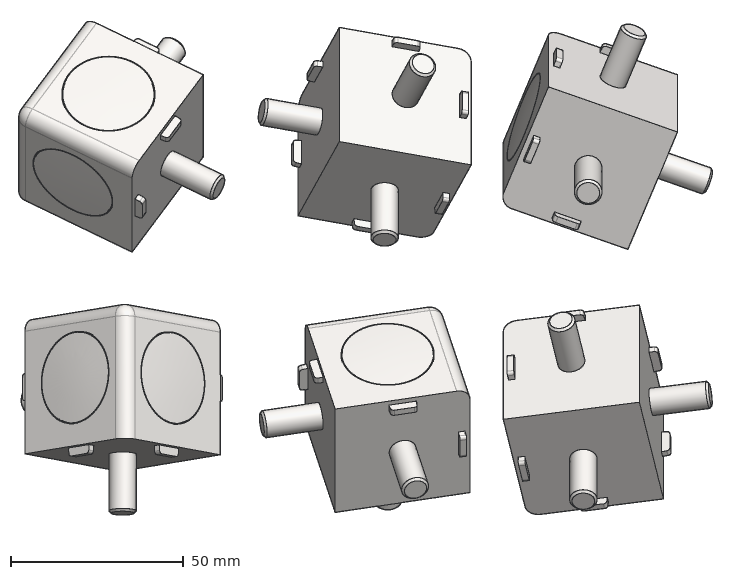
import cadquery as cq
import math

cube_side = 40.05
half_side = cube_side / 2
corner_radius = 4.0

shaft_diameter = 8.0
shaft_length = 17.3
shaft_chamfer = 0.7

cap_diameter = 26.5
cap_dome_height = 0.5
cap_gap = 0.25
recess_diameter = cap_diameter + 2 * cap_gap
recess_depth = 1.0

tab_root_width = 8.2
tab_end_taper = 5.0
tab_thickness = 1.95
tab_height = 2.5
tab_corner_radius = 1.0
tab_edge_distance = 1.55

X_AXIS = cq.Vector(1, 0, 0)
Y_AXIS = cq.Vector(0, 1, 0)
Z_AXIS = cq.Vector(0, 0, 1)

cap_normals = [-X_AXIS, -Y_AXIS, Z_AXIS]
shaft_normals = [X_AXIS, Y_AXIS, -Z_AXIS]


def face_plane(normal, across):
    """Plane at the centre of a cube face, looking outwards, with its local X along `across`."""
    return cq.Plane(origin=normal * half_side, xDir=across, normal=normal)


def perpendicular_to(normal):
    """A direction lying in the face with this normal."""
    return normal.cross(Z_AXIS) if normal.dot(Z_AXIS) == 0 else X_AXIS


def make_tab(normal, toward_edge):
    """Upright plate near the face edge that lies in the direction `toward_edge`; its ends taper."""
    outward_side = cq.Plane(
        origin=normal * half_side + toward_edge * (half_side - tab_edge_distance),
        xDir=normal.cross(toward_edge),
        normal=toward_edge,
    )
    root = tab_root_width / 2
    tip = root - tab_height * math.tan(math.radians(tab_end_taper))
    return (
        cq.Workplane(outward_side)
        .polyline([(-root, 0), (root, 0), (tip, tab_height), (-tip, tab_height)])
        .close()
        .extrude(-tab_thickness)
        .edges(cq.selectors.ParallelDirSelector(toward_edge))
        .edges(cq.selectors.DirectionMinMaxSelector(normal))
        .fillet(tab_corner_radius)
    )


def make_housing():
    housing = cq.Workplane().box(cube_side, cube_side, cube_side)
    rounded_edges = housing.edges("(<X and <Y) or (<X and >Z) or (<Y and >Z)")
    housing = rounded_edges.fillet(corner_radius)
    for normal in cap_normals:
        recess = (
            cq.Workplane(face_plane(normal, perpendicular_to(normal)))
            .circle(recess_diameter / 2)
            .extrude(-recess_depth)
        )
        housing = housing.cut(recess)
    for normal in shaft_normals:
        for toward_edge in cap_normals:
            if normal.dot(toward_edge) == 0:
                housing = housing.union(make_tab(normal, toward_edge))
    return housing


def make_shaft(normal):
    """Plain pin that stands on a cube face and has a chamfered free end."""
    return (
        cq.Workplane(face_plane(normal, perpendicular_to(normal)))
        .circle(shaft_diameter / 2)
        .extrude(shaft_length)
        .faces(cq.selectors.DirectionMinMaxSelector(normal))
        .chamfer(shaft_chamfer)
    )


def make_cap(normal):
    """Disc on the recess floor, level with the face at its rim and domed above it."""
    rim_radius = cap_diameter / 2
    dome_radius = (rim_radius**2 + cap_dome_height**2) / (2 * cap_dome_height)
    disc = (
        cq.Workplane(face_plane(normal, perpendicular_to(normal)))
        .workplane(offset=-recess_depth)
        .circle(rim_radius)
        .extrude(recess_depth + cap_dome_height)
    )
    dome_centre = normal * (half_side + cap_dome_height - dome_radius)
    ball = cq.Workplane().sphere(dome_radius, direct=X_AXIS.toTuple()).translate(dome_centre)
    return disc.intersect(ball)


housing = make_housing()
shafts = [make_shaft(normal) for normal in shaft_normals]
caps = [make_cap(normal) for normal in cap_normals]

result = cq.Compound.makeCompound(
    [
        housing.val(),
        *[shaft.val() for shaft in shafts],
        *[cap.val() for cap in caps],
    ]
)